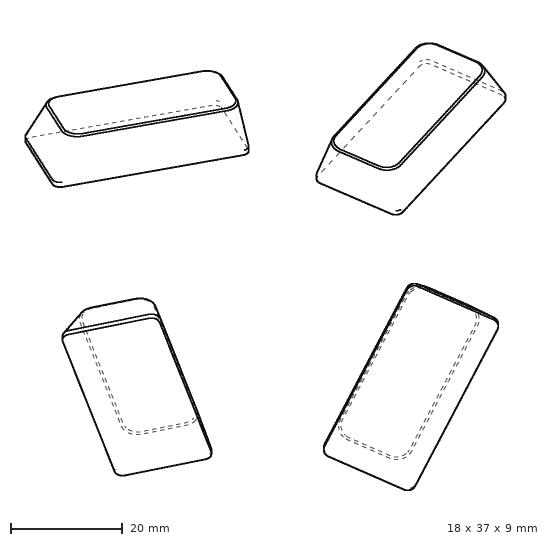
import cadquery as cq

base_width = 18.0
base_length = 37.0
base_corner_radius = 1.5
skirt_height = 1.0

crown_width = 14.0
crown_length = 33.0
crown_corner_radius = 3.0
crown_shift_y = 1.0
total_height = 9.0

bevel_inset = 0.32
bevel_drop = 0.3

shoulder_height = total_height - bevel_drop
shoulder_share = (shoulder_height - skirt_height) / (total_height - skirt_height)


def along_wall(base_value, crown_value):
    """Value of an outline dimension where the sloped wall meets the bevel."""
    return base_value + (crown_value - base_value) * shoulder_share


def rounded_outline(width, length, corner_radius, shift_y, height):
    """Rounded rectangle lying at the given height, shifted along Y."""
    outline = cq.Sketch().rect(width, length).vertices().fillet(corner_radius)
    return outline.moved(cq.Location(cq.Vector(0, shift_y, height)))


def straight_loft(lower, upper):
    """Solid with straight walls between two outlines."""
    return cq.Workplane("XY").placeSketch(lower, upper).loft(ruled=True)


def base_outline(height):
    return rounded_outline(base_width, base_length, base_corner_radius, 0, height)


def shoulder_outline():
    return rounded_outline(
        along_wall(base_width, crown_width),
        along_wall(base_length, crown_length),
        along_wall(base_corner_radius, crown_corner_radius),
        along_wall(0, crown_shift_y),
        shoulder_height,
    )


def top_outline():
    return rounded_outline(
        crown_width - 2 * bevel_inset,
        crown_length - 2 * bevel_inset,
        crown_corner_radius - bevel_inset,
        crown_shift_y,
        total_height,
    )


skirt = cq.Workplane("XY").placeSketch(base_outline(0)).extrude(skirt_height)
sloped_body = straight_loft(base_outline(skirt_height), shoulder_outline())
bevelled_top = straight_loft(shoulder_outline(), top_outline())

result = skirt.union(sloped_body).union(bevelled_top)